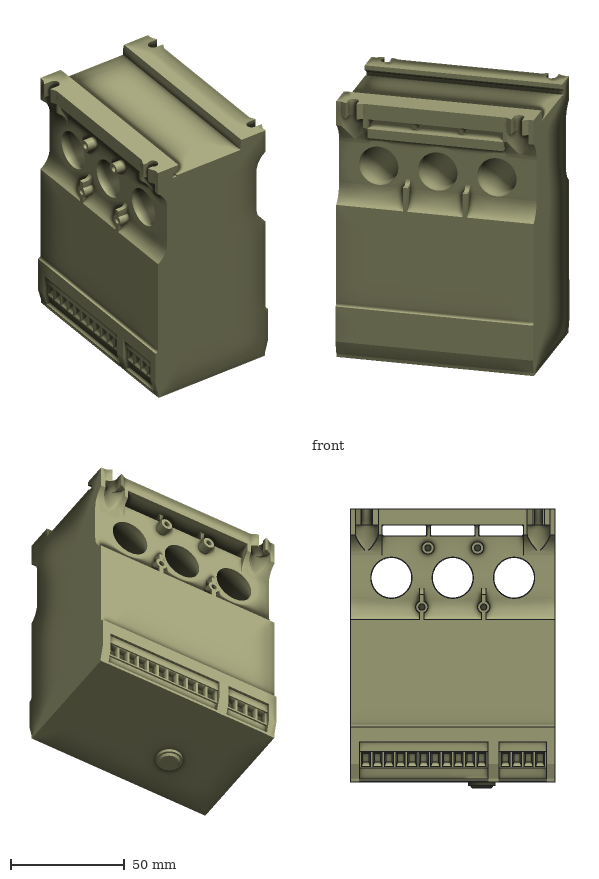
import cadquery as cq
import math

WIDTH = 90.0
FOOT_DEPTH = 60.4
HEIGHT = 120.0
CUT_MARGIN = 1.2

FOOT_FACE = FOOT_DEPTH / 2
BODY_FACE = FOOT_FACE - 1.3
WAIST_FACE = BODY_FACE - 4.9
BOTTOM_FACE = BODY_FACE - 0.4

TOE_TOP = 1.5
TAPER_TOP = 7.8
FOOT_TOP = 24.3
FOOT_FILLET_RADIUS = 1.1
WAIST_CURVE_START = 71.4
WAIST_BOTTOM = 80.4
WAIST_TOP = 99.7
SHOULDER_BOTTOM = 108.7
HEAD_BOTTOM = 113.0

SHOULDER_INNER_X = 31.0
MOUNT_X = 37.7
SLOT_RADIUS = 2.3
SLOT_CENTRE_Y = 26.5
NARROW_MOUTH_HALF_WIDTH = 1.7
SCREW_WELL_RADIUS = 5.0
SCREW_WELL_CENTRE_Y = 29.2
LUG_BASE_HALF_WIDTH = 5.0
LUG_TIP_HALF_WIDTH = 2.6

RAIL_FLOOR = 114.9
RAIL_REAR_WALL_Y = 15.4
RAIL_REAR_LEAD_IN = 0.5
RAIL_REAR_LEAD_IN_Z = 117.6
RAIL_FRONT_WALL_Y = -17.9
RAIL_LIP_BOTTOM = 118.0
RAIL_UNDERCUT_Y = -20.8
RAIL_UNDERCUT_TOP = 116.0
RAIL_RELIEF_Y = -18.7
RAIL_RELIEF_DEPTH = 0.6

WINDOW_BOTTOM = 108.2
WINDOW_COUNT = 3
WINDOW_WEB = 1.7
WINDOW_CORNER_RADIUS = 0.6

CABLE_HOLE_COUNT = 3
CABLE_HOLE_RADIUS = 9.0
CABLE_HOLE_PITCH = 27.0
CABLE_HOLE_Z = 89.8

BOSS_RADIUS = 2.7
BOSS_HOLE_RADIUS = 1.3
UPPER_BOSS_X = 10.9
UPPER_BOSS_Z = 102.9
RIB_X = 13.6
RIB_WIDTH = 2.1
RIB_TOP = 82.5
RIB_ROOT_RADIUS = 2.7
LOWER_BOSS_Z = 76.9

STOP_FACE_Y = 28.0
STOP_BOTTOM = 103.9

TERMINAL_TOP = 17.6
TERMINAL_RECESS = 1.2
TERMINAL_DEPTH = 12.2
TERMINAL_BROW_BOTTOM = 13.5
TERMINAL_SILL_TOP = 6.2
TERMINAL_ENTRY_FACE = FOOT_FACE - 2.0
TERMINAL_SILL_FACE = FOOT_FACE - 2.8
TERMINAL_TOE_FACE = FOOT_FACE - 3.5
LONG_BLOCK_LEFT = -40.9
LONG_BLOCK_RIGHT = 15.4
LONG_BLOCK_WAYS = 11
LONG_BLOCK_ENTRY_SPAN = 50.8
TERMINAL_PITCH = LONG_BLOCK_ENTRY_SPAN / (LONG_BLOCK_WAYS - 1)
SHORT_BLOCK_LEFT = 20.2
SHORT_BLOCK_RIGHT = 41.3
SHORT_BLOCK_WAYS = 4

LIP_HEIGHT = 0.5
LIP_REACH = 0.1

ENTRY_WIDTH = 4.0
ENTRY_BOTTOM = 7.0
ENTRY_TOP = 13.4
ENTRY_DEPTH = 2.5
ENTRY_INNER_WIDTH = 2.8
ENTRY_INNER_BOTTOM = 8.8
ENTRY_INNER_TOP = 12.5

KNOB_X = 12.7
KNOB_Y = 6.9
KNOB_RADIUS = 5.9
KNOB_RIM_HEIGHT = 1.5
KNOB_HEIGHT = 2.5
KNOB_TIP_ROOT_RADIUS = 4.9
KNOB_TIP_END_RADIUS = 4.2


def box(x_min, x_max, y_min, y_max, z_min, z_max):
    size = (x_max - x_min, y_max - y_min, z_max - z_min)
    return cq.Workplane("XY").box(*size, centered=False).translate((x_min, y_min, z_min))


def across_width(outline, x_min, x_max):
    """Extrude a closed (Y, Z) outline from x_min to x_max."""
    return outline.close().extrude(x_max - x_min).translate((x_min, 0, 0))


def upright_cylinder(x, y, radius, z_min, z_max):
    return cq.Workplane("XY", origin=(x, y, z_min)).circle(radius).extrude(z_max - z_min)


def rod_along_y(x, z, radius, y_min, y_max):
    """Cylinder parallel to Y."""
    return cq.Workplane("XZ", origin=(x, y_max, z)).circle(radius).extrude(y_max - y_min)


def arc_middle_offset(radius):
    """Distance from each tangent face to the middle of a quarter-round fillet between them."""
    return radius * (1 - math.sqrt(0.5))


def waist_arc_middle(z_tangent, z_end):
    """Middle (Y, Z) of the front arc from tangency with the waist face to its end on the body face."""
    inset = BODY_FACE - WAIST_FACE
    rise = z_end - z_tangent
    radius = (inset**2 + rise**2) / (2 * inset)
    half_angle = math.asin(abs(rise) / radius) / 2
    y = WAIST_FACE + radius * (1 - math.cos(half_angle))
    z = z_tangent + math.copysign(radius * math.sin(half_angle), rise)
    return -y, z


def on_both_faces(front_feature):
    """The feature together with its mirror image on the rear face."""
    return front_feature.union(front_feature.mirror("XZ"))


def body_core():
    """Full-width core: foot, body and waist, carried straight up to the top at waist depth."""
    fillet_offset = arc_middle_offset(FOOT_FILLET_RADIUS)
    front = (
        cq.Workplane("YZ")
        .moveTo(0, 0)
        .lineTo(-BOTTOM_FACE, 0)
        .lineTo(-BOTTOM_FACE, TOE_TOP)
        .lineTo(-FOOT_FACE, TAPER_TOP)
        .lineTo(-FOOT_FACE, FOOT_TOP)
        .lineTo(-BODY_FACE - FOOT_FILLET_RADIUS, FOOT_TOP)
        .threePointArc(
            (-BODY_FACE - fillet_offset, FOOT_TOP + fillet_offset),
            (-BODY_FACE, FOOT_TOP + FOOT_FILLET_RADIUS),
        )
        .lineTo(-BODY_FACE, WAIST_CURVE_START)
        .threePointArc(waist_arc_middle(WAIST_BOTTOM, WAIST_CURVE_START), (-WAIST_FACE, WAIST_BOTTOM))
        .lineTo(-WAIST_FACE, HEIGHT)
        .lineTo(0, HEIGHT)
    )
    return on_both_faces(across_width(front, -WIDTH / 2, WIDTH / 2))


def head():
    """Block along the top, as deep as the body."""
    return box(-WIDTH / 2, WIDTH / 2, -BODY_FACE, BODY_FACE, HEAD_BOTTOM, HEIGHT)


def shoulder(x_min, x_max):
    """Curved bracket under one front corner of the head."""
    outline = (
        cq.Workplane("YZ")
        .moveTo(-WAIST_FACE, WAIST_TOP)
        .threePointArc(waist_arc_middle(WAIST_TOP, SHOULDER_BOTTOM), (-BODY_FACE, SHOULDER_BOTTOM))
        .lineTo(-BODY_FACE, HEAD_BOTTOM)
        .lineTo(-WAIST_FACE, HEAD_BOTTOM)
    )
    return across_width(outline, x_min, x_max)


def lug(x):
    """Tapered pad standing proud of the head around a mounting slot."""
    return (
        cq.Workplane("XY", origin=(x, 0, HEAD_BOTTOM))
        .moveTo(-LUG_BASE_HALF_WIDTH, -BODY_FACE)
        .lineTo(-LUG_TIP_HALF_WIDTH, -FOOT_FACE)
        .lineTo(LUG_TIP_HALF_WIDTH, -FOOT_FACE)
        .lineTo(LUG_BASE_HALF_WIDTH, -BODY_FACE)
        .close()
        .extrude(HEIGHT - HEAD_BOTTOM)
    )


def mounting_slot(x, mouth_half_width):
    """Open screw slot through the head, with a wider well for the screw head below it."""
    slot_top = HEIGHT + CUT_MARGIN
    round_end = upright_cylinder(x, -SLOT_CENTRE_Y, SLOT_RADIUS, HEAD_BOTTOM, slot_top)
    mouth_left = x - mouth_half_width
    mouth_right = x + mouth_half_width
    mouth = box(mouth_left, mouth_right, -FOOT_FACE - CUT_MARGIN, -SLOT_CENTRE_Y, HEAD_BOTTOM, slot_top)
    well = upright_cylinder(x, -SCREW_WELL_CENTRE_Y, SCREW_WELL_RADIUS, WAIST_TOP, HEAD_BOTTOM)
    return round_end.union(mouth).union(well)


def rail_channel():
    """Channel for a mounting rail, undercut at its front wall."""
    outline = (
        cq.Workplane("YZ")
        .moveTo(RAIL_FRONT_WALL_Y, HEIGHT)
        .lineTo(RAIL_FRONT_WALL_Y, RAIL_LIP_BOTTOM)
        .lineTo(RAIL_UNDERCUT_Y, RAIL_UNDERCUT_TOP)
        .lineTo(RAIL_UNDERCUT_Y, RAIL_FLOOR - RAIL_RELIEF_DEPTH)
        .lineTo(RAIL_RELIEF_Y, RAIL_FLOOR - RAIL_RELIEF_DEPTH)
        .lineTo(RAIL_RELIEF_Y, RAIL_FLOOR)
        .lineTo(RAIL_REAR_WALL_Y, RAIL_FLOOR)
        .lineTo(RAIL_REAR_WALL_Y, RAIL_REAR_LEAD_IN_Z)
        .lineTo(RAIL_REAR_WALL_Y + RAIL_REAR_LEAD_IN, HEIGHT)
    )
    return across_width(outline, -WIDTH / 2, WIDTH / 2)


def windows():
    """Row of equal windows through the waist, between the shoulders."""
    width = (2 * SHOULDER_INNER_X - (WINDOW_COUNT - 1) * WINDOW_WEB) / WINDOW_COUNT
    return (
        cq.Workplane("XZ", origin=(0, FOOT_FACE, (WINDOW_BOTTOM + HEAD_BOTTOM) / 2))
        .rarray(width + WINDOW_WEB, 1.2, WINDOW_COUNT, 1)
        .rect(width, HEAD_BOTTOM - WINDOW_BOTTOM)
        .extrude(FOOT_DEPTH)
        .edges("|Y")
        .fillet(WINDOW_CORNER_RADIUS)
    )


def cable_holes():
    """Round holes from front to rear."""
    return (
        cq.Workplane("XZ", origin=(0, FOOT_FACE, CABLE_HOLE_Z))
        .rarray(CABLE_HOLE_PITCH, 1.2, CABLE_HOLE_COUNT, 1)
        .circle(CABLE_HOLE_RADIUS)
        .extrude(FOOT_DEPTH)
    )


def rib(x):
    """Rib across the lower waist curve, blended into the waist face by a concave arc."""
    root_offset = arc_middle_offset(RIB_ROOT_RADIUS)
    outline = (
        cq.Workplane("YZ")
        .moveTo(-WAIST_FACE, WAIST_CURVE_START)
        .lineTo(-BODY_FACE, WAIST_CURVE_START)
        .lineTo(-BODY_FACE, RIB_TOP)
        .lineTo(-WAIST_FACE - RIB_ROOT_RADIUS, RIB_TOP)
        .threePointArc(
            (-WAIST_FACE - root_offset, RIB_TOP + root_offset), (-WAIST_FACE, RIB_TOP + RIB_ROOT_RADIUS)
        )
    )
    return across_width(outline, x - RIB_WIDTH / 2, x + RIB_WIDTH / 2)


def rear_stop():
    """Bar under the rear windows, between the shoulders."""
    return box(-SHOULDER_INNER_X, SHOULDER_INNER_X, WAIST_FACE, STOP_FACE_Y, STOP_BOTTOM, WINDOW_BOTTOM)


def terminal_pocket(x_min, x_max):
    """Recess in the foot that holds one terminal block."""
    back = -FOOT_FACE + TERMINAL_DEPTH
    return box(x_min, x_max, -FOOT_FACE - CUT_MARGIN, back, TOE_TOP, TERMINAL_TOP)


def toe_lip(x_min, x_max):
    """Thin lip standing proud of the bottom front edge below one terminal block."""
    return box(x_min, x_max, -BOTTOM_FACE - LIP_REACH, -BOTTOM_FACE, 0, LIP_HEIGHT)


def make_housing(block_spans):
    """The whole housing, with a pocket for a terminal block across each (x_min, x_max) span."""
    body = body_core().union(head())
    for side in (-1, 1):
        inner_x = side * SHOULDER_INNER_X
        outer_x = side * WIDTH / 2
        body = body.union(on_both_faces(shoulder(min(inner_x, outer_x), max(inner_x, outer_x))))
        body = body.union(on_both_faces(lug(side * MOUNT_X)))
        body = body.union(on_both_faces(rib(side * RIB_X)))
    body = body.union(rear_stop())

    for side in (-1, 1):
        for x, z in ((side * UPPER_BOSS_X, UPPER_BOSS_Z), (side * RIB_X, LOWER_BOSS_Z)):
            body = body.union(rod_along_y(x, z, BOSS_RADIUS, -BODY_FACE, -WAIST_FACE))
            body = body.cut(rod_along_y(x, z, BOSS_HOLE_RADIUS, -BODY_FACE, -WAIST_FACE))
        front_mouth = NARROW_MOUTH_HALF_WIDTH if side > 0 else SLOT_RADIUS
        body = body.cut(mounting_slot(side * MOUNT_X, front_mouth))
        body = body.cut(mounting_slot(side * MOUNT_X, SLOT_RADIUS).mirror("XZ"))

    body = body.cut(rail_channel()).cut(windows()).cut(cable_holes())
    for x_min, x_max in block_spans:
        body = body.cut(terminal_pocket(x_min, x_max)).union(toe_lip(x_min, x_max))
    return body


def wire_entry(x):
    """Funnel that narrows from the entry face to a flat bottom."""
    outer_middle = (ENTRY_BOTTOM + ENTRY_TOP) / 2
    inner_middle = (ENTRY_INNER_BOTTOM + ENTRY_INNER_TOP) / 2
    return (
        cq.Workplane("XZ", origin=(x, -TERMINAL_ENTRY_FACE, outer_middle))
        .rect(ENTRY_WIDTH, ENTRY_TOP - ENTRY_BOTTOM)
        .workplane(offset=-ENTRY_DEPTH)
        .center(0, inner_middle - outer_middle)
        .rect(ENTRY_INNER_WIDTH, ENTRY_INNER_TOP - ENTRY_INNER_BOTTOM)
        .loft(ruled=True)
    )


def make_terminal_block(x_min, x_max, ways):
    """Terminal block with one wire entry per way."""
    brow_face = FOOT_FACE - TERMINAL_RECESS
    back = -FOOT_FACE + TERMINAL_DEPTH
    outline = (
        cq.Workplane("YZ")
        .moveTo(back, TOE_TOP)
        .lineTo(-TERMINAL_TOE_FACE, TOE_TOP)
        .lineTo(-TERMINAL_SILL_FACE, TERMINAL_SILL_TOP)
        .lineTo(-TERMINAL_ENTRY_FACE, TERMINAL_SILL_TOP)
        .lineTo(-TERMINAL_ENTRY_FACE, TERMINAL_BROW_BOTTOM)
        .lineTo(-brow_face, TERMINAL_BROW_BOTTOM)
        .lineTo(-brow_face, TERMINAL_TOP)
        .lineTo(back, TERMINAL_TOP)
    )
    block = across_width(outline, x_min, x_max)
    middle = (x_min + x_max) / 2
    for way in range(ways):
        block = block.cut(wire_entry(middle + (way - (ways - 1) / 2) * TERMINAL_PITCH))
    return block


def make_knob():
    """Flat round knob under the housing: a rim and a tapered tip."""
    rim = upright_cylinder(KNOB_X, KNOB_Y, KNOB_RADIUS, -KNOB_RIM_HEIGHT, 0)
    tip = (
        cq.Workplane("XY", origin=(KNOB_X, KNOB_Y, -KNOB_RIM_HEIGHT))
        .circle(KNOB_TIP_ROOT_RADIUS)
        .workplane(offset=KNOB_RIM_HEIGHT - KNOB_HEIGHT)
        .circle(KNOB_TIP_END_RADIUS)
        .loft()
    )
    return rim.union(tip)


block_layout = [
    (LONG_BLOCK_LEFT, LONG_BLOCK_RIGHT, LONG_BLOCK_WAYS),
    (SHORT_BLOCK_LEFT, SHORT_BLOCK_RIGHT, SHORT_BLOCK_WAYS),
]
housing = make_housing([(x_min, x_max) for x_min, x_max, _ in block_layout])
terminal_blocks = [make_terminal_block(*block) for block in block_layout]
knob = make_knob()

result = cq.Compound.makeCompound([housing.val(), *[block.val() for block in terminal_blocks], knob.val()])